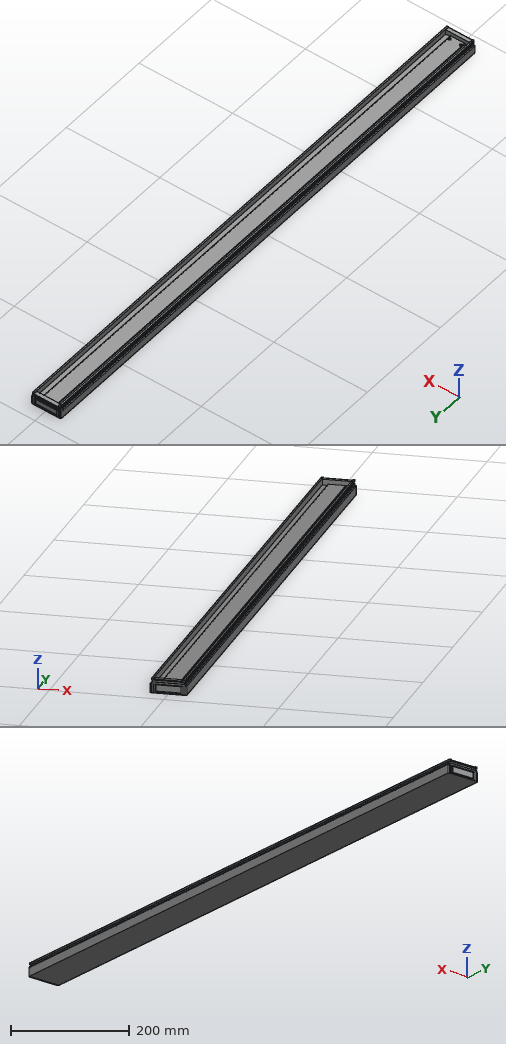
import cadquery as cq

length = 1140.0
base_width = 64.0
height = 26.0

rim_width = 58.0
base_height = 16.0

flange_setback = 1.0

groove_depth = 1.0
groove_bottom = 19.0
groove_top = 23.0

well_width = 51.0
well_floor = 15.0
end_wall = 8.0

end_wall_drop = 1.0

strip_width = 31.0
strip_top = 17.0

border_bottom = 1.0
border_depth = 1.0
panel_width = 45.0
panel_bottom = 3.0
panel_top = 15.0

hole_diameter = 5.0
hole_spacing = 24.0
hole_end_distance = 15.0


def block(width, depth, bottom, top):
    """Box centred on X and Y, spanning bottom to top in Z."""
    return cq.Workplane("XY", origin=(0, 0, bottom)).rect(width, depth).extrude(top - bottom)


def outer_body():
    """Base and rim without any recesses."""
    base = block(base_width, length - 2 * flange_setback, 0, base_height)
    return base.union(block(rim_width, length, 0, height))


def rim_groove():
    """Ring of material removed around the outside of the rim."""
    outer = block(base_width, length, groove_bottom, groove_top)
    core = block(rim_width - 2 * groove_depth, length - 2 * groove_depth, groove_bottom, groove_top)
    return outer.cut(core)


def well():
    """Main well plus the lowered tops of the end walls."""
    opening = block(well_width, length - 2 * end_wall, well_floor, height)
    return opening.union(block(well_width, length, height - end_wall_drop, height))


def strip():
    """Raised strip along the well floor, drilled with two holes at its -Y end."""
    hole_y = hole_end_distance - length / 2
    centres = [(side * hole_spacing / 2, hole_y) for side in (-1, 1)]
    plane = cq.Workplane("XY", origin=(0, 0, well_floor))
    holes = plane.pushPoints(centres).circle(hole_diameter / 2).extrude(strip_top - well_floor)
    return block(strip_width, length - 2 * end_wall, well_floor, strip_top).cut(holes)


def end_border(end):
    """Sunk border around the panel of one end face; end is -1 or +1 along Y."""
    frame = block(well_width, 2 * border_depth, border_bottom, base_height)
    panel = block(panel_width, 2 * border_depth, panel_bottom, panel_top)
    return frame.cut(panel).translate((0, end * length / 2, 0))


body = outer_body().cut(rim_groove()).cut(well()).union(strip())
for end in (-1, 1):
    body = body.cut(end_border(end))
result = body